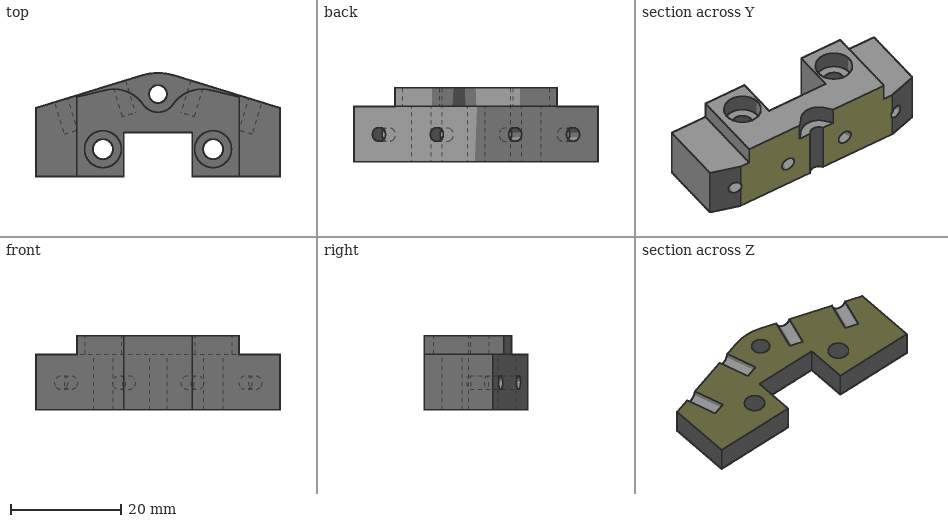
import cadquery as cq
import math

length = 44.3
end_depth = 12.5
total_depth = 18.86
base_height = 10.1
back_slope = math.radians(16.8)
peak_radius = 10.0

total_height = 13.5
pad_half_length = 14.75
pad_lobe_x = 8.0
pad_lobe_depth = 15.9
pad_end_slope = math.radians(13.5)
pad_relief_radius = 3.3

notch_width = 12.4
notch_depth = 8.0

pivot_diameter = 3.2
pivot_y = 15.0
bolt_diameter = 3.6
bolt_x = 10.0
bolt_y = 5.0
counterbore_diameter = 6.7
counterbore_depth = 3.4

side_hole_diameter = 2.5
side_hole_depth = 6.0
side_hole_z = 5.0
side_hole_offsets = (4.75, 15.75)

half_length = length / 2


def point_on_circle(center, radius, angle):
    """Point at the given angle (radians, from +X) on a circle."""
    return (center[0] + radius * math.cos(angle), center[1] + radius * math.sin(angle))


def mirrored(point):
    """Reflect a point in the part's middle plane."""
    return (-point[0], point[1])


def make_base():
    """Block with two sloped back faces, joined by a round peak."""
    peak_center = (0, total_depth - peak_radius)
    peak_start = point_on_circle(peak_center, peak_radius, math.pi / 2 + back_slope)
    return (
        cq.Workplane("XY")
        .moveTo(-half_length, 0)
        .lineTo(-half_length, end_depth)
        .lineTo(*peak_start)
        .threePointArc((0, total_depth), mirrored(peak_start))
        .lineTo(half_length, end_depth)
        .lineTo(half_length, 0)
        .close()
        .extrude(base_height)
    )


def make_pad():
    """Pad with two rounded lobes and a relief curve around the pivot hole."""
    lobe_rise = pad_lobe_depth - pivot_y
    tangency_term = pad_lobe_x**2 + lobe_rise**2 - pad_relief_radius**2
    lobe_radius = tangency_term / (2 * (pad_relief_radius + lobe_rise))
    lobe_center = (-pad_lobe_x, pad_lobe_depth - lobe_radius)
    touch_angle = math.atan2(pivot_y - lobe_center[1], pad_lobe_x)
    touch_point = point_on_circle(lobe_center, lobe_radius, touch_angle)

    lobe_start = point_on_circle(lobe_center, lobe_radius, math.pi / 2 + pad_end_slope)
    end_drop = (lobe_start[0] + pad_half_length) * math.tan(pad_end_slope)
    corner = (-pad_half_length, lobe_start[1] - end_drop)
    lobe_top = (-pad_lobe_x, pad_lobe_depth)
    relief_bottom = (0, pivot_y - pad_relief_radius)

    return (
        cq.Workplane("XY")
        .moveTo(-pad_half_length, 0)
        .lineTo(*corner)
        .lineTo(*lobe_start)
        .threePointArc(lobe_top, touch_point)
        .threePointArc(relief_bottom, mirrored(touch_point))
        .threePointArc(mirrored(lobe_top), mirrored(lobe_start))
        .lineTo(*mirrored(corner))
        .lineTo(pad_half_length, 0)
        .close()
        .extrude(total_height)
    )


def make_notch():
    """Notch through the full height, open at the front."""
    return cq.Workplane("XY").box(notch_width, 2 * notch_depth, 2 * total_height)


def make_side_hole(side, offset):
    """Blind hole square to a sloped back face; side is -1 or +1 along X."""
    mouth = cq.Vector(
        side * (half_length - offset * math.cos(back_slope)),
        end_depth + offset * math.sin(back_slope),
        side_hole_z,
    )
    inward = cq.Vector(-side * math.sin(back_slope), -math.cos(back_slope), 0)
    start = mouth - inward * side_hole_diameter
    drill_length = side_hole_depth + side_hole_diameter
    return cq.Solid.makeCylinder(side_hole_diameter / 2, drill_length, start, inward)


def drill_vertical_holes(body):
    """Plain pivot hole and two counterbored bolt holes, all through."""
    top = cq.Workplane("XY", origin=(0, 0, total_height))
    pivot = top.center(0, pivot_y).circle(pivot_diameter / 2).extrude(-total_height)
    body = body.cut(pivot)
    for side in (-1, 1):
        bolt_place = top.center(side * bolt_x, bolt_y)
        body = body.cut(bolt_place.circle(bolt_diameter / 2).extrude(-total_height))
        body = body.cut(bolt_place.circle(counterbore_diameter / 2).extrude(-counterbore_depth))
    return body


def drill_side_holes(body):
    """Two blind holes in each sloped back face."""
    for side in (-1, 1):
        for offset in side_hole_offsets:
            body = body.cut(cq.Workplane(make_side_hole(side, offset)))
    return body


result = make_base().union(make_pad()).cut(make_notch())
result = drill_vertical_holes(result)
result = drill_side_holes(result)